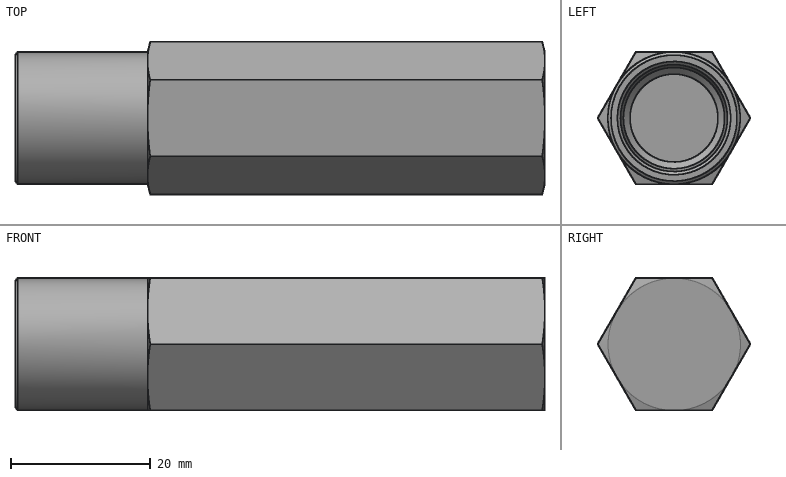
import cadquery as cq
import math

total_length = 76.2
across_flats = 19.05
across_corners = across_flats / math.cos(math.pi / 6)
corner_chamfer_length = 0.4

spigot_diameter = across_flats
spigot_length = 19.05
spigot_chamfer_length = 0.4
spigot_chamfer_height = 0.45

mouth_diameter = 16.3
entry_diameter = 15.4
throat_diameter = 14.55
bore_diameter = 12.65
mouth_chamfer_depth = 0.45
entry_depth = 2.45
throat_cone_depth = 0.9
bore_depth = total_length / 2


def revolve_about_x(profile):
    """Turn a list of (x, radius) points, closed along the axis, into a solid."""
    return cq.Workplane("XY").polyline(profile).close().revolve(360, (0, 0, 0), (1, 0, 0))


def make_spigot():
    radius = spigot_diameter / 2
    return revolve_about_x([
        (0, 0),
        (0, radius - spigot_chamfer_height),
        (spigot_chamfer_length, radius),
        (spigot_length, radius),
        (spigot_length, 0),
    ])


def make_hexagon_bar():
    bar = (
        cq.Workplane("YZ", origin=(spigot_length, 0, 0))
        .polygon(6, across_corners)
        .extrude(total_length - spigot_length)
    )
    face_radius = across_flats / 2
    corner_radius = across_corners / 2
    envelope = revolve_about_x([
        (spigot_length, 0),
        (spigot_length, face_radius),
        (spigot_length + corner_chamfer_length, corner_radius),
        (total_length - corner_chamfer_length, corner_radius),
        (total_length, face_radius),
        (total_length, 0),
    ])
    return bar.intersect(envelope)


def make_bore():
    throat_start = mouth_chamfer_depth + entry_depth
    return revolve_about_x([
        (0, 0),
        (0, mouth_diameter / 2),
        (mouth_chamfer_depth, entry_diameter / 2),
        (throat_start, throat_diameter / 2),
        (throat_start + throat_cone_depth, bore_diameter / 2),
        (bore_depth, bore_diameter / 2),
        (bore_depth, 0),
    ])


result = make_hexagon_bar().union(make_spigot()).cut(make_bore())